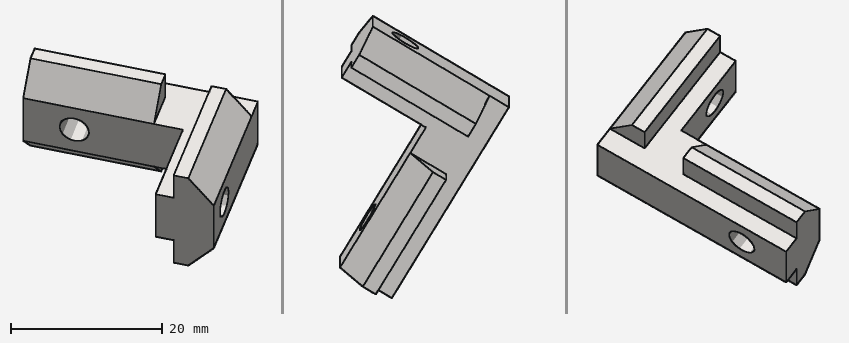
import cadquery as cq

length_x = 30.0
length_y = 21.0
flange_width = 15.8

neck_width = 7.7
arm_thickness = 8.0
neck_depth = 2.5
flange_edge = 2.0
taper_start = neck_depth + flange_edge

flange_length = 18.0

hole_diameter = 4.0
hole_from_x_end = 7.05
hole_from_y_end = 5.0


def flange_profile(plane):
    """Outline of a tapered flange; local x is depth from the neck face, local y is Z."""
    return (
        cq.Workplane(plane)
        .moveTo(neck_depth, -flange_width / 2)
        .lineTo(taper_start, -flange_width / 2)
        .lineTo(arm_thickness, -neck_width / 2)
        .lineTo(arm_thickness, neck_width / 2)
        .lineTo(taper_start, flange_width / 2)
        .lineTo(neck_depth, flange_width / 2)
        .close()
    )


def through_hole(plane, depth):
    """Cylinder through an arm, starting at the origin of the plane."""
    return cq.Workplane(plane).circle(hole_diameter / 2).extrude(depth)


inner_x = length_x - arm_thickness
inner_y = length_y - arm_thickness
core = (
    cq.Workplane("XY")
    .workplane(offset=-neck_width / 2)
    .moveTo(0, length_y)
    .lineTo(length_x, length_y)
    .lineTo(length_x, 0)
    .lineTo(inner_x, 0)
    .lineTo(inner_x, inner_y)
    .lineTo(0, inner_y)
    .close()
    .extrude(neck_width)
)

x_arm_plane = cq.Plane(origin=(0, length_y, 0), xDir=(0, -1, 0), normal=(1, 0, 0))
x_arm_flange = flange_profile(x_arm_plane).extrude(flange_length)

y_arm_plane = cq.Plane(origin=(inner_x, 0, 0), xDir=(1, 0, 0), normal=(0, 1, 0))
y_arm_flange = flange_profile(y_arm_plane).extrude(flange_length)

x_arm_hole_plane = cq.Plane(origin=(hole_from_x_end, 0, 0), xDir=(1, 0, 0), normal=(0, 1, 0))
y_arm_hole_plane = cq.Plane(origin=(0, hole_from_y_end, 0), xDir=(0, 1, 0), normal=(1, 0, 0))

result = (
    core.union(x_arm_flange)
    .union(y_arm_flange)
    .cut(through_hole(x_arm_hole_plane, length_y))
    .cut(through_hole(y_arm_hole_plane, length_x))
)